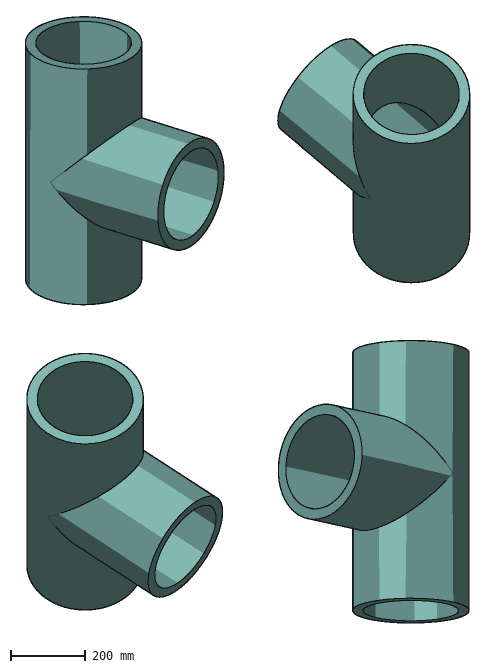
import cadquery as cq

run_length = 712.0
outer_diameter = 315.0
wall_thickness = 28.5
branch_reach = 352.5

bore_diameter = outer_diameter - 2 * wall_thickness


def tee_cylinders(diameter):
    """Solid tee: run centred on the origin, branch starting at the run axis."""
    run = cq.Workplane("XY").circle(diameter / 2).extrude(run_length / 2, both=True)
    branch = cq.Workplane("YZ").circle(diameter / 2).extrude(branch_reach)
    return run.union(branch)


result = tee_cylinders(outer_diameter).cut(tee_cylinders(bore_diameter))